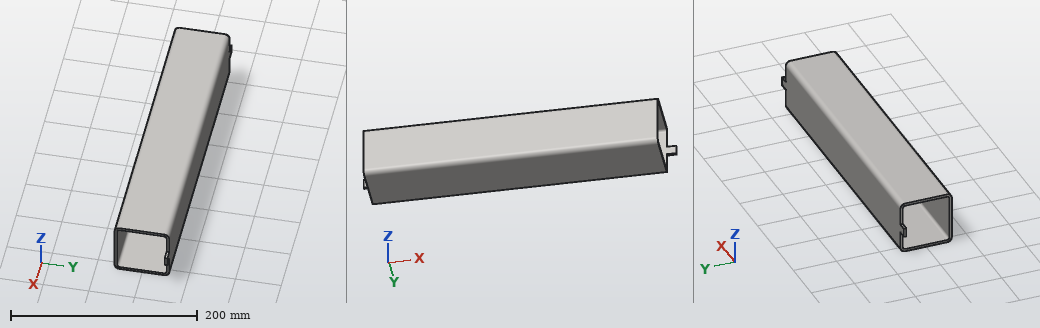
import cadquery as cq

tube_length = 320.0
tube_side = 60.0
wall = 3.0
outer_radius = 6.0
inner_radius = outer_radius - wall

tab_length = 10.0
tab_height = 10.0


def make_bar(side, corner_radius):
    """Square bar along X with rounded long edges."""
    return cq.Workplane("XY").box(tube_length, side, side).edges("|X").fillet(corner_radius)


def make_tabs():
    """One strip in the +Y wall, projecting by a tab at both ends."""
    strip_length = tube_length + 2 * tab_length
    wall_center = (tube_side - wall) / 2
    return cq.Workplane("XY").box(strip_length, wall, tab_height).translate((0, wall_center, 0))


tube = make_bar(tube_side, outer_radius).cut(make_bar(tube_side - 2 * wall, inner_radius))
result = tube.union(make_tabs())